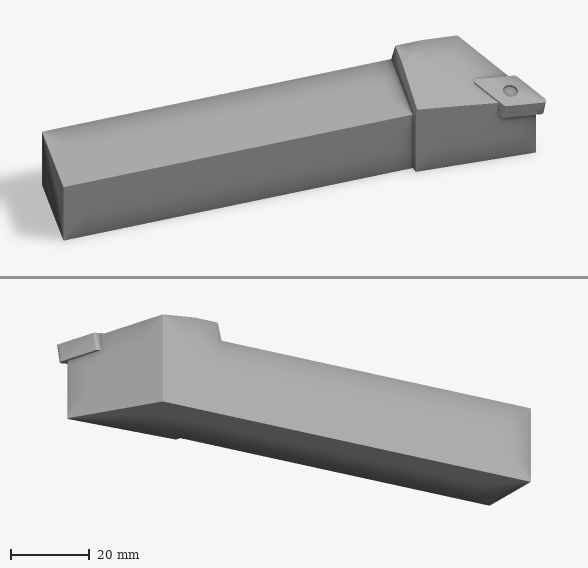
import cadquery as cq
import math

shank_size = 20.0

head_height = 24.7
step_start_y = 92.2
step_lean = 13.0
shoulder_x = 21.5
shoulder_rise = 0.4
front_left_y = 109.7
side_lean = 3.4
head_corner_radius = 0.4
front_angle = 32.0

top_slope = math.tan(math.radians(6.0))
top_fall_start = 100.1

insert_circle = 9.525
insert_angle = 55.0
insert_thickness = 4.76
insert_nose_radius = 0.8
insert_hole_diameter = 3.81
insert_hole_depth = 0.7
insert_center_x = 20.04
insert_center_y = 118.0
insert_proud = 0.6

cut_margin = 60.0


def head_top_z(x, y):
    return head_height - top_slope * (x + y - top_fall_start)


def tilted_plane(x, y, lift=0.0):
    """Plane parallel to the sloping head top, its X axis lying over the part's X axis."""
    return cq.Plane(
        origin=(x, y, head_top_z(x, y) + lift),
        xDir=(1, 0, -top_slope),
        normal=(top_slope, top_slope, 1),
    )


def insert_blank():
    """Rounded diamond prism, before its recess is made."""
    side = insert_circle / math.sin(math.radians(insert_angle))
    first = math.radians(front_angle)
    second = math.radians(front_angle + insert_angle)
    ux, uy = side / 2 * math.cos(first), side / 2 * math.sin(first)
    vx, vy = side / 2 * math.cos(second), side / 2 * math.sin(second)
    corners = [(ux + vx, uy + vy), (vx - ux, vy - uy), (-ux - vx, -uy - vy), (ux - vx, uy - vy)]
    plane = tilted_plane(insert_center_x, insert_center_y, insert_proud)
    blank = cq.Workplane(plane).polyline(corners).close().extrude(-insert_thickness)
    normal_edges = cq.selectors.ParallelDirSelector(plane.zDir)
    return blank.edges(normal_edges).fillet(insert_nose_radius)


def make_insert():
    plane = tilted_plane(insert_center_x, insert_center_y, insert_proud)
    recess = cq.Workplane(plane).circle(insert_hole_diameter / 2).extrude(-insert_hole_depth)
    return insert_blank().cut(recess)


def make_holder():
    shoulder_y = step_start_y + shoulder_rise
    front_rise = math.tan(math.radians(front_angle))
    side_run = math.tan(math.radians(side_lean))
    corner_x = (shoulder_x + side_run * (front_left_y - shoulder_y)) / (1 - side_run * front_rise)
    corner_y = front_left_y + front_rise * corner_x
    outline = [
        (0, 0),
        (shank_size, 0),
        (shank_size, step_start_y),
        (shoulder_x, shoulder_y),
        (corner_x, corner_y),
        (0, front_left_y),
    ]
    body = cq.Workplane("XY").polyline(outline).close().extrude(head_height)
    body = body.edges("|Z").edges(">Y").fillet(head_corner_radius)

    step_run = (head_height - shank_size) * math.tan(math.radians(step_lean))
    above_shank = (
        cq.Workplane("YZ")
        .polyline([
            (0, shank_size),
            (step_start_y, shank_size),
            (step_start_y + step_run, head_height),
            (0, head_height),
        ])
        .close()
        .extrude(cut_margin)
    )
    above_head = (
        cq.Workplane(tilted_plane(0, top_fall_start))
        .rect(2 * cut_margin, 2 * cut_margin)
        .extrude(cut_margin)
    )
    return body.cut(above_shank).cut(above_head).cut(insert_blank())


holder = make_holder()
insert = make_insert()
result = cq.Compound.makeCompound([holder.val(), insert.val()])